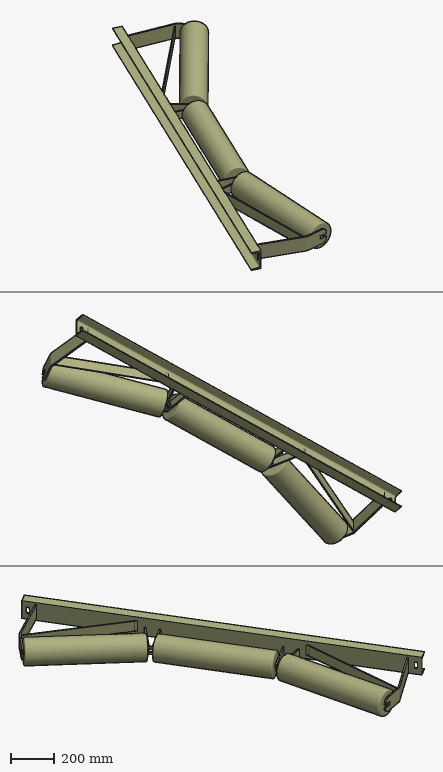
import cadquery as cq
import math


beam_length = 1900.0
beam_height = 100.0
flange_width = 48.0
web_thickness = 5.0
flange_tip_thickness = 5.0
flange_root_thickness = 10.0
flange_root_radius = 8.0
flange_tip_radius = 4.0
slot_end_offset = 28.0
slot_width = 15.0
slot_length = 35.0

trough_angle = 20.0
forward_tilt = 2.0
roller_diameter = 133.0
roller_length = 570.0
roller_end_radius = 5.0
centre_roller_y = 120.0
side_roller_y = 127.0
roller_axis_z = -20.0
shaft_size = 17.0
end_gap = 4.0

bracket_thickness = 8.0
centre_bracket_width = 42.0
fold_radius = 15.0
fold_axis_y = 135.0
outer_bracket_width = 80.0
outer_foot_x = 880.0
outer_bend_y = 241.0
outer_bend_radius = 25.0
outer_tip_reach = 28.0
outer_tip_radius = 28.0

strut_width = 57.0
strut_thickness = 5.0
strut_foot_x = 400.0

trough = math.radians(trough_angle)
tilt = math.radians(forward_tilt)
outward = cq.Vector(-math.cos(trough), math.sin(trough), 0)
upward = cq.Vector(math.sin(trough), math.cos(trough), 0)
side_axis = outward * math.cos(tilt) + cq.Vector(0, 0, math.sin(tilt))
shaft_length = roller_length + 2 * (end_gap + bracket_thickness)

fold_axis_x = -(roller_length / 2 + end_gap + fold_radius)
side_roller_drop = fold_axis_y - side_roller_y
side_roller_x = fold_axis_x - (
    (fold_radius + end_gap) / math.cos(trough) + side_roller_drop * math.tan(trough)
)
side_inner_end = cq.Vector(side_roller_x, side_roller_y, roller_axis_z)
side_outer_end = side_inner_end + side_axis * roller_length

centre_plane = cq.Plane((0, centre_roller_y, roller_axis_z), xDir=(0, 0, -1), normal=(1, 0, 0))
side_plane = cq.Plane(
    (side_inner_end + side_outer_end) * 0.5,
    xDir=upward.cross(side_axis),
    normal=side_axis,
)

face_at_shaft = side_outer_end + outward * end_gap
bend_inside = face_at_shaft - upward * ((face_at_shaft.y - outer_bend_y) / upward.y)
lower_leg_lean = math.atan2(-outer_foot_x - bend_inside.x, outer_bend_y)


def make_beam():
    """Channel with tapered flanges and a slot near each end of the web."""
    half = beam_height / 2
    root_z = half - flange_root_thickness
    tip_z = half - flange_tip_thickness
    beam = (
        cq.Workplane("YZ", origin=(-beam_length / 2, 0, 0))
        .polyline([
            (0, -half),
            (-flange_width, -half),
            (-flange_width, -tip_z),
            (-web_thickness, -root_z),
            (-web_thickness, root_z),
            (-flange_width, tip_z),
            (-flange_width, half),
            (0, half),
        ])
        .close()
        .extrude(beam_length)
    )
    for side in (-1, 1):
        root = cq.selectors.NearestToPointSelector((0, -web_thickness, side * root_z))
        beam = beam.edges("|X").edges(root).fillet(flange_root_radius)
        tip = cq.selectors.NearestToPointSelector((0, -flange_width, side * tip_z))
        beam = beam.edges("|X").edges(tip).fillet(flange_tip_radius)

    slot_x = beam_length / 2 - slot_end_offset
    slots = (
        cq.Workplane("XZ")
        .pushPoints([(-slot_x, 0), (slot_x, 0)])
        .slot2D(slot_length, slot_width, 90)
        .extrude(flange_width)
    )
    return beam.cut(slots)


def make_roller(plane):
    """Round-edged roller with a square shaft end on both sides."""
    shell = (
        cq.Workplane(plane)
        .workplane(offset=-roller_length / 2)
        .circle(roller_diameter / 2)
        .extrude(roller_length)
        .edges()
        .fillet(roller_end_radius)
    )
    shaft = cq.Workplane(plane).box(shaft_size, shaft_size, shaft_length)
    return shell.union(shaft)


def shaft_slots(plane):
    """Cutter for the open slots in which both ends of a shaft rest."""
    depth = roller_diameter
    return (
        cq.Workplane(plane)
        .center(0, (depth - shaft_size) / 2)
        .box(shaft_size, depth, shaft_length + 2 * bracket_thickness)
    )


def make_centre_bracket():
    """Folded strap: an upright leg by the centre roller and a sloping leg by the side roller."""
    inside_radius = fold_radius - bracket_thickness
    fold_end = math.pi - trough

    def fold_point(radius, angle):
        return (fold_axis_x + radius * math.cos(angle), fold_axis_y + radius * math.sin(angle))

    def sloping_foot(radius):
        top_x, top_y = fold_point(radius, fold_end)
        return (top_x - top_y * math.tan(trough), 0)

    strap = (
        cq.Workplane("XY", origin=(0, 0, roller_axis_z - centre_bracket_width / 2))
        .moveTo(fold_axis_x + fold_radius, 0)
        .lineTo(*fold_point(fold_radius, 0))
        .threePointArc(fold_point(fold_radius, fold_end / 2), fold_point(fold_radius, fold_end))
        .lineTo(*sloping_foot(fold_radius))
        .lineTo(*sloping_foot(inside_radius))
        .lineTo(*fold_point(inside_radius, fold_end))
        .threePointArc(fold_point(inside_radius, fold_end / 2), fold_point(inside_radius, 0))
        .lineTo(fold_axis_x + inside_radius, 0)
        .close()
        .extrude(centre_bracket_width)
    )
    return strap.cut(shaft_slots(centre_plane)).cut(shaft_slots(side_plane))


def make_outer_bracket():
    """Bent strap: the lower leg leans outward and the upper leg lies along the roller end."""
    tip_inside = face_at_shaft + upward * outer_tip_reach
    tip_outside = tip_inside + outward * bracket_thickness
    half_bend = (trough + lower_leg_lean) / 2
    mitre_length = bracket_thickness / math.cos(half_bend)
    mitre_angle = math.pi - trough + half_bend
    bend_outside = (
        bend_inside.x + mitre_length * math.cos(mitre_angle),
        bend_inside.y + mitre_length * math.sin(mitre_angle),
    )
    strap = (
        cq.Workplane("XY", origin=(0, 0, -outer_bracket_width / 2))
        .polyline([
            (-outer_foot_x, 0),
            (bend_inside.x, bend_inside.y),
            (tip_inside.x, tip_inside.y),
            (tip_outside.x, tip_outside.y),
            bend_outside,
            (-outer_foot_x - bracket_thickness / math.cos(lower_leg_lean), 0),
        ])
        .close()
        .extrude(outer_bracket_width)
    )
    inside_edge = cq.selectors.NearestToPointSelector((bend_inside.x, bend_inside.y, 0))
    strap = strap.edges("|Z").edges(inside_edge).fillet(outer_bend_radius - bracket_thickness)
    outside_edge = cq.selectors.NearestToPointSelector((*bend_outside, 0))
    strap = strap.edges("|Z").edges(outside_edge).fillet(outer_bend_radius)
    tip_corners = cq.selectors.ParallelDirSelector(outward)
    strap = strap.edges(tip_corners).fillet(outer_tip_radius)
    return strap.cut(shaft_slots(side_plane))


def make_strut(bracket):
    """Flat bar from the beam up to the bend of the outer bracket, trimmed to fit the bend."""
    slope = math.atan2(bend_inside.y, -strut_foot_x - bend_inside.x)
    drop = strut_thickness / math.cos(slope - lower_leg_lean)
    bar = (
        cq.Workplane("XY", origin=(0, 0, -strut_width / 2))
        .polyline([
            (bend_inside.x, bend_inside.y),
            (-strut_foot_x, 0),
            (-strut_foot_x - strut_thickness / math.sin(slope), 0),
            (
                bend_inside.x + drop * math.sin(lower_leg_lean),
                bend_inside.y - drop * math.cos(lower_leg_lean),
            ),
        ])
        .close()
        .extrude(strut_width)
    )
    return bar.cut(bracket)


beam = make_beam()
centre_roller = make_roller(centre_plane)
side_roller = make_roller(side_plane)
centre_bracket = make_centre_bracket()
outer_bracket = make_outer_bracket()
strut = make_strut(outer_bracket)

bodies = [beam.val(), centre_roller.val()]
for side_body in (side_roller, centre_bracket, outer_bracket, strut):
    bodies.append(side_body.val())
    bodies.append(side_body.mirror("YZ").val())

result = cq.Compound.makeCompound(bodies)